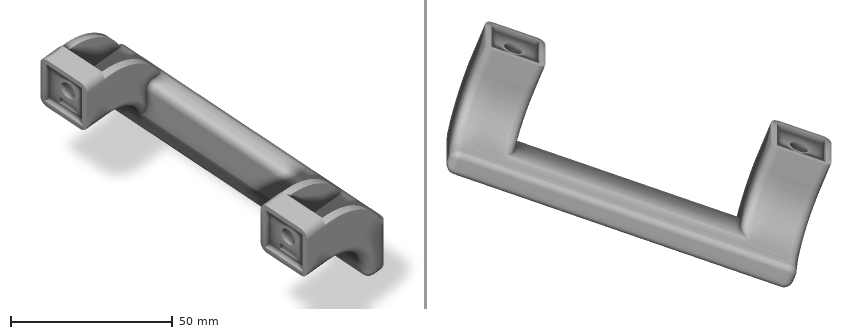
import cadquery as cq
import math

length = 115.0
depth = 36.0
height = 40.0
edge_radius = 2.9
lower_edge_radius = 2.1
corner_ball_radius = 3.0
tolerance = 0.01

leg_size = 20.0
wall = 2.9
leg_bottom = height - leg_size
leg_centre_x = (length - leg_size) / 2
mount_block_depth = 8.0
pocket_start = 9.8
shoulder_height = 37.8

grip_height = 23.0
grip_thickness = 8.0
grip_front = depth - grip_thickness
centre_grip_front = 26.8

bend_y = 9.9
inner_bend_radius = grip_front - bend_y
inner_bend_z = leg_bottom - inner_bend_radius
outer_bend_radius = 25.4
outer_bend_z = shoulder_height - outer_bend_radius
outer_bend_end_y = bend_y + math.sqrt(outer_bend_radius**2 - (grip_height - outer_bend_z) ** 2)

recess_size = 16.0
recess_depth = 2.0
recess_centre_z = height - leg_size / 2
hole_diameter = 6.0
hole_z = 30.4
slot_width = 7.5
slot_height = 2.5
slot_z = 24.2


def box_between(x_range, y_range, z_range):
    """Box spanning the given (low, high) range on each axis."""
    corners = list(zip(x_range, y_range, z_range))
    sizes = [high - low for low, high in zip(*corners)]
    return cq.Workplane("XY").box(*sizes, centered=False).translate(corners[0])


def arc_point(centre_z, radius, angle):
    """Point on a bend arc, with the angle in degrees from +Y towards +Z."""
    turn = math.radians(angle)
    return (bend_y + radius * math.cos(turn), centre_z + radius * math.sin(turn))


def make_bent_body():
    """Full-length bent body with the space between the legs cut back to the grip bar."""
    end_angle = math.degrees(math.atan2(grip_height - outer_bend_z, outer_bend_end_y - bend_y))
    body = (
        cq.Workplane("YZ")
        .moveTo(0, leg_bottom)
        .lineTo(bend_y, leg_bottom)
        .threePointArc(arc_point(inner_bend_z, inner_bend_radius, 45), (grip_front, inner_bend_z))
        .lineTo(grip_front, 0)
        .lineTo(depth, 0)
        .lineTo(depth, grip_height)
        .lineTo(outer_bend_end_y, grip_height)
        .threePointArc(
            arc_point(outer_bend_z, outer_bend_radius, (90 + end_angle) / 2),
            (bend_y, shoulder_height),
        )
        .lineTo(mount_block_depth, shoulder_height)
        .lineTo(mount_block_depth, height)
        .lineTo(0, height)
        .close()
        .extrude(length / 2, both=True)
    )
    space_half = length / 2 - leg_size
    front_space = box_between((-space_half, space_half), (0, centre_grip_front), (0, height))
    top_space = box_between((-space_half, space_half), (0, depth), (grip_height, height))
    return body.cut(front_space).cut(top_space)


def is_rounded(edge):
    """True for the block top corners and the upper long edges of the grip."""
    start = edge.startPoint()
    end = edge.endPoint()
    middle = edge.positionAt(0.5)
    runs_along_x = abs(end.x - start.x) > tolerance
    if runs_along_x:
        at_back_top = middle.y > depth - tolerance
        at_centre_front = abs(middle.y - centre_grip_front) < tolerance
        return at_back_top or at_centre_front
    if max(start.y, end.y) < mount_block_depth + tolerance:
        runs_along_y = abs(end.y - start.y) > tolerance
        return runs_along_y and middle.z > shoulder_height
    return False


def is_lower_edge(edge):
    """True for the two long edges along the bottom of the grip."""
    box = edge.BoundingBox()
    return box.zmax < tolerance and box.xlen > length / 2


def is_side_edge(edge):
    """True for the underside bend edges on the leg sides, and the ends of the grip."""
    start = edge.startPoint()
    end = edge.endPoint()
    middle = edge.positionAt(0.5)
    if abs(end.x - start.x) > tolerance:
        return False
    at_end = abs(middle.x) > length / 2 - tolerance
    below = max(start.z, end.z) < leg_bottom + tolerance
    on_space_face = min(start.y, end.y) > centre_grip_front - tolerance and not at_end
    at_back = min(start.y, end.y) > depth - tolerance
    return (below and not on_space_face) or (at_back and at_end)


def make_leg_cuts(leg_x):
    """Open pocket, face recess, screw hole and slot of the leg centred on leg_x."""
    pocket_half = leg_size / 2 - wall
    pocket = box_between(
        (leg_x - pocket_half, leg_x + pocket_half), (pocket_start, depth), (grip_height, height)
    )
    face = cq.Workplane("XZ").center(leg_x, 0)
    recess = face.center(0, recess_centre_z).rect(recess_size, recess_size).extrude(-recess_depth)
    hole = face.center(0, hole_z).circle(hole_diameter / 2).extrude(-pocket_start)
    slot = face.center(0, slot_z).rect(slot_width, slot_height).extrude(-pocket_start)
    return pocket.union(recess).union(hole).union(slot)


def make_grip_corner_cut(side):
    """Waste outside a ball-rounded upper back corner of the grip; side is -1 or 1 along X."""
    centre = (side * (length / 2 - edge_radius), depth - edge_radius, grip_height - edge_radius)
    x_range = sorted((centre[0], side * length / 2))
    block = box_between(x_range, (centre[1], depth), (centre[2], grip_height))
    ball = cq.Workplane("XY").sphere(corner_ball_radius).translate(centre)
    return block.cut(ball)


body = make_bent_body()
lower_edges = [edge for edge in body.edges().vals() if is_lower_edge(edge)]
body = body.newObject(lower_edges).fillet(lower_edge_radius)
rounded_edges = [edge for edge in body.edges().vals() if is_rounded(edge) or is_side_edge(edge)]
result = body.newObject(rounded_edges).fillet(edge_radius)
for side in (-1, 1):
    result = result.cut(make_leg_cuts(side * leg_centre_x))
    result = result.cut(make_grip_corner_cut(side))